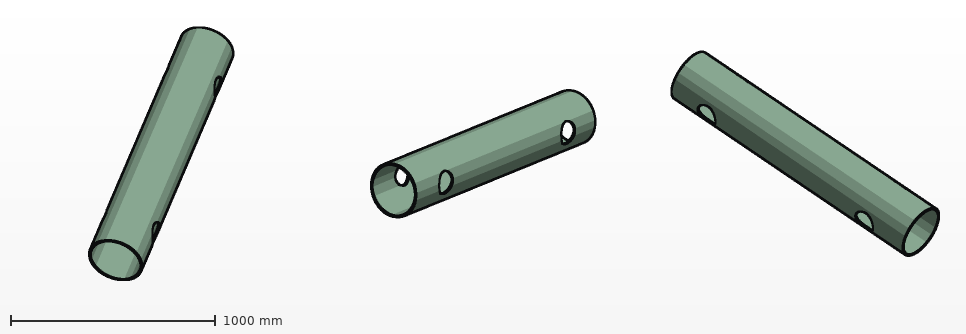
import cadquery as cq

length = 1499.0
outer_diameter = 273.0
wall = 9.0
inner_diameter = outer_diameter - 2 * wall

hole_diameter = 115.0
front_hole_offset = 228.0
back_hole_offset = 249.0
hole_positions = (
    -length / 2 + front_hole_offset,
    length / 2 - back_hole_offset,
)


def make_tube():
    end_plane = cq.Workplane("XZ", origin=(0, length / 2, 0))
    profile = end_plane.circle(outer_diameter / 2).circle(inner_diameter / 2)
    return profile.extrude(length)


def make_cross_holes():
    centres = [(y, 0) for y in hole_positions]
    sketch = cq.Workplane("YZ").pushPoints(centres).circle(hole_diameter / 2)
    return sketch.extrude(outer_diameter, both=True)


result = make_tube().cut(make_cross_holes())